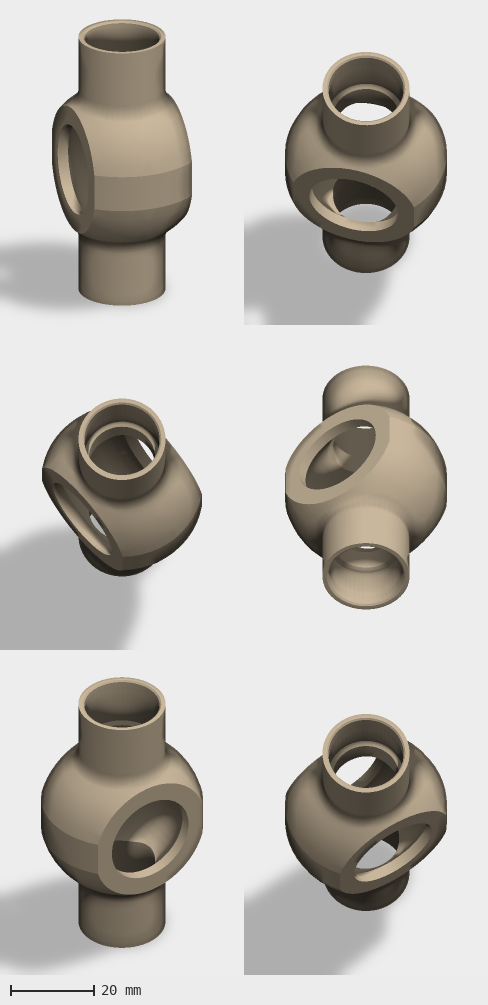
import cadquery as cq
import math

length = 66.0
body_width = 39.0
body_depth = 25.0
ball_radius = 20.0

pipe_radius = 21.0 / 2
neck_fillet = 4.0
bore_radius = 16.0 / 2
socket_radius = 18.15 / 2
socket_depth = 12.0
shoulder_slope = math.radians(30)
mouth_chamfer = 0.4

window_radius = 22.0 / 2
chamber_radius = 16.0
chamber_length = 19.8
chamber_fillet = 6.0

half_length = length / 2
arc_x = pipe_radius + neck_fillet
arc_z = math.sqrt((ball_radius + neck_fillet) ** 2 - arc_x**2)
arc_angle = math.atan2(arc_z, arc_x)
ball_contact = (ball_radius * math.cos(arc_angle), ball_radius * math.sin(arc_angle))
middle_angle = math.pi + arc_angle / 2
arc_middle = (
    arc_x + neck_fillet * math.cos(middle_angle),
    arc_z + neck_fillet * math.sin(middle_angle),
)

band_radius = body_width / 2
band_half_height = math.sqrt(ball_radius**2 - band_radius**2)
ball_middle_angle = (arc_angle + math.atan2(band_half_height, band_radius)) / 2
ball_middle = (
    ball_radius * math.cos(ball_middle_angle),
    ball_radius * math.sin(ball_middle_angle),
)


def make_body():
    """Revolve the upper half, mirror it and cut the two flat faces."""
    upper_half = (
        cq.Workplane("XZ")
        .lineTo(band_radius, 0)
        .lineTo(band_radius, band_half_height)
        .threePointArc(ball_middle, ball_contact)
        .threePointArc(arc_middle, (pipe_radius, arc_z))
        .lineTo(pipe_radius, half_length)
        .lineTo(0, half_length)
        .close()
        .revolve(360, (0, 0), (0, 1))
    )
    turned = upper_half.union(upper_half.mirror("XY"))
    return turned.intersect(cq.Workplane("XY").box(body_width, body_depth, length))


def make_pipe_socket():
    """Upper socket with a chamfered mouth and a conical shoulder down to the bore."""
    shoulder_z = half_length - socket_depth
    bore_z = shoulder_z - (socket_radius - bore_radius) * math.tan(shoulder_slope)
    mouth_radius = socket_radius + mouth_chamfer
    return (
        cq.Workplane("XZ")
        .moveTo(0, bore_z)
        .lineTo(bore_radius, bore_z)
        .lineTo(socket_radius, shoulder_z)
        .lineTo(socket_radius, half_length - mouth_chamfer)
        .lineTo(mouth_radius, half_length)
        .lineTo(0, half_length)
        .close()
        .revolve(360, (0, 0), (0, 1))
    )


def make_cross_bore():
    """Through bore along Y with a wider, round-cornered chamber in its middle."""
    window = cq.Workplane("XZ").circle(window_radius).extrude(body_depth / 2, both=True)
    chamber = cq.Workplane("XZ").circle(chamber_radius).extrude(chamber_length / 2, both=True)
    return window.union(chamber.edges("%CIRCLE").fillet(chamber_fillet))


pipe_bore = cq.Workplane("XY").circle(bore_radius).extrude(half_length, both=True)
socket = make_pipe_socket()

result = (
    make_body()
    .cut(pipe_bore)
    .cut(socket)
    .cut(socket.mirror("XY"))
    .cut(make_cross_bore())
)